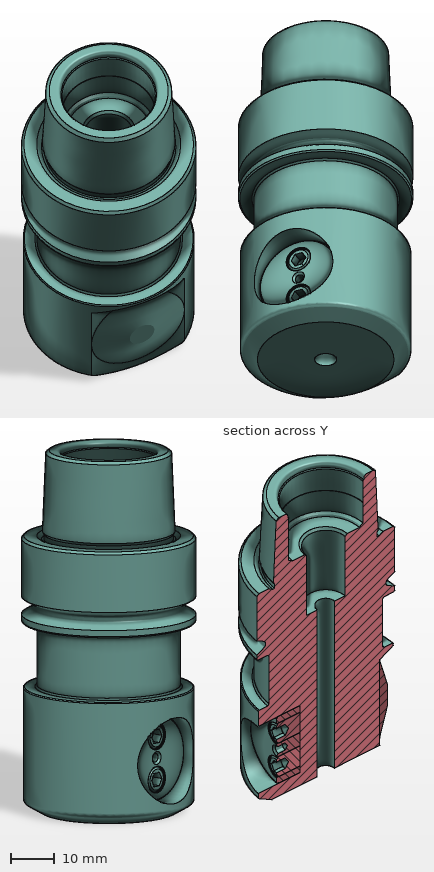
import cadquery as cq
import math

TOTAL_HEIGHT = 83.9
EDGE_TOLERANCE = 0.1
CONE_ANGLE = 30.0

HEAD_R = 19.55
HEAD_TOP_Z = 28.95
HEAD_TOP_EDGE = 0.25
NOSE_R = 15.6
NOSE_FILLET = 1.3

NECK_R = 16.45
NECK_CORNER = 0.4

FLANGE_R = 20.0
FLANGE_BOTTOM_Z = 44.05
FLANGE_TOP_Z = 64.0
FLANGE_TOP_EDGE = 0.6
FLANGE_BOTTOM_EDGE = 0.3
GROOVE_R = 17.5
GROOVE_LOW_EDGE_Z = 45.8
GROOVE_HIGH_EDGE_Z = 50.0
GROOVE_FILLET = 0.7
GROOVE_WALL_Z = (FLANGE_R - GROOVE_R) * math.tan(math.radians(CONE_ANGLE))

UNDERCUT_OUTER_R = 16.45
UNDERCUT_INNER_R = 15.35
UNDERCUT_DEPTH = 0.75
SHANK_RELIEF_R = 14.85
SHANK_BASE_R = 15.2
SHANK_BASE_Z = 65.1
SHANK_BASE_CONE_Z = 0.6
SHANK_TIP_R = 14.4
SHANK_TIP_CHAMFER_R = 0.8
SHANK_TIP_CHAMFER_Z = 0.6

SOCKET_R = 10.65
MOUTH_R = 10.9
MOUTH_DEPTH = 1.7
MOUTH_FILLET = 1.1
CHAMBER_R = 10.7
CHAMBER_TOP_Z = 75.8
SOCKET_FLOOR_R = 9.65
SOCKET_FLOOR_Z = 68.8
FLOOR_CHAMFER = 0.3
CHAMBER_CONE_Z = 0.4
WELL_R = 5.5
WELL_CHAMFER = 0.6
WELL_FLOOR_Z = 50.3
THROUGH_R = 2.5

CROSS_AXIS_Z = 14.0
FLAT_X = NOSE_R
FLAT_TOP_Z = 25.75
RECESS_R = 10.0
DISC_FACE_X = -14.3
DISC_THICKNESS = 6.7
DISC_BACK_X = DISC_FACE_X + DISC_THICKNESS
DISC_EDGE = 0.3
BUTTON_BASE_R = 11.75
BUTTON_TIP_R = 3.1
BUTTON_SLOPE = 15.0
BUTTON_HEIGHT = (BUTTON_BASE_R - BUTTON_TIP_R) * math.tan(math.radians(BUTTON_SLOPE))

SCREW_OFFSET = 5.0
SCREW_R = 2.9
SCREW_EDGE = 0.5
SCREW_HOLE_EDGE = 0.2
HEX_FLATS = 3.1
HEX_DEPTH = 2.5
DRILL_TIP_ANGLE = 118.0
CENTRE_HOLE_R = 1.0
CENTRE_HOLE_EDGE = 0.5
CENTRE_HOLE_DEPTH = 2.5


def revolve_about_z(points):
    return cq.Workplane("XZ").polyline(points).close().revolve(360, (0, 0, 0), (0, 1, 0))


def revolve_about_cross_axis(points, z=CROSS_AXIS_Z):
    """Turn (x, radius) points about a line parallel to X at height z."""
    outline = [(x, z + radius) for x, radius in points]
    return cq.Workplane("XZ").polyline(outline).close().revolve(360, (0, z, 0), (1, z, 0))


def round_circle(body, radius, z, fillet):
    """Fillet the circular edge of this radius around Z at height z."""
    reach = radius + EDGE_TOLERANCE
    box = cq.selectors.BoxSelector(
        (-reach, -reach, z - EDGE_TOLERANCE),
        (reach, reach, z + EDGE_TOLERANCE),
        boundingbox=True,
    )
    return body.edges(box).fillet(fillet)


def drill_tip(radius):
    """Height of the cone that a drill of this radius leaves at the end of its hole."""
    return radius / math.tan(math.radians(DRILL_TIP_ANGLE / 2))


def housing_blank():
    """Solid turned shape of the housing, before bores and side cuts."""
    nose_z = (HEAD_R - NOSE_R) * math.tan(math.radians(CONE_ANGLE))
    head = revolve_about_z([
        (0, 0),
        (NOSE_R, 0),
        (HEAD_R, nose_z),
        (HEAD_R, HEAD_TOP_Z - HEAD_TOP_EDGE),
        (HEAD_R - HEAD_TOP_EDGE, HEAD_TOP_Z),
        (0, HEAD_TOP_Z),
    ])
    head = round_circle(head, HEAD_R, nose_z, NOSE_FILLET)
    groove_low_z = GROOVE_LOW_EDGE_Z + GROOVE_WALL_Z
    groove_high_z = GROOVE_HIGH_EDGE_Z - GROOVE_WALL_Z
    upper = revolve_about_z([
        (0, HEAD_TOP_Z),
        (NECK_R + NECK_CORNER, HEAD_TOP_Z),
        (NECK_R, HEAD_TOP_Z + NECK_CORNER),
        (NECK_R, FLANGE_BOTTOM_Z - NECK_CORNER),
        (NECK_R + NECK_CORNER, FLANGE_BOTTOM_Z),
        (FLANGE_R - FLANGE_BOTTOM_EDGE, FLANGE_BOTTOM_Z),
        (FLANGE_R, FLANGE_BOTTOM_Z + FLANGE_BOTTOM_EDGE),
        (FLANGE_R, GROOVE_LOW_EDGE_Z),
        (GROOVE_R, groove_low_z),
        (GROOVE_R, groove_high_z),
        (FLANGE_R, GROOVE_HIGH_EDGE_Z),
        (FLANGE_R, FLANGE_TOP_Z - FLANGE_TOP_EDGE),
        (FLANGE_R - FLANGE_TOP_EDGE, FLANGE_TOP_Z),
        (UNDERCUT_OUTER_R, FLANGE_TOP_Z),
        (UNDERCUT_INNER_R, FLANGE_TOP_Z - UNDERCUT_DEPTH),
        (SHANK_RELIEF_R, FLANGE_TOP_Z - UNDERCUT_DEPTH),
        (SHANK_RELIEF_R, SHANK_BASE_Z - SHANK_BASE_CONE_Z),
        (SHANK_BASE_R, SHANK_BASE_Z),
        (SHANK_TIP_R, TOTAL_HEIGHT - SHANK_TIP_CHAMFER_Z),
        (SHANK_TIP_R - SHANK_TIP_CHAMFER_R, TOTAL_HEIGHT),
        (0, TOTAL_HEIGHT),
    ])
    for z in (groove_low_z, groove_high_z):
        upper = round_circle(upper, GROOVE_R, z, GROOVE_FILLET)
    return head.union(upper)


def axial_bores():
    """Stepped core of the through hole, well, chamber, socket and mouth."""
    chamber_cone_z = SOCKET_FLOOR_Z + FLOOR_CHAMFER
    return revolve_about_z([
        (0, 0),
        (THROUGH_R, 0),
        (THROUGH_R, WELL_FLOOR_Z),
        (WELL_R, WELL_FLOOR_Z),
        (WELL_R, SOCKET_FLOOR_Z - WELL_CHAMFER),
        (WELL_R + WELL_CHAMFER, SOCKET_FLOOR_Z),
        (SOCKET_FLOOR_R, SOCKET_FLOOR_Z),
        (SOCKET_FLOOR_R + FLOOR_CHAMFER, chamber_cone_z),
        (CHAMBER_R, chamber_cone_z + CHAMBER_CONE_Z),
        (CHAMBER_R, CHAMBER_TOP_Z),
        (SOCKET_R, CHAMBER_TOP_Z),
        (SOCKET_R, TOTAL_HEIGHT - MOUTH_DEPTH),
        (MOUTH_R, TOTAL_HEIGHT - MOUTH_DEPTH + MOUTH_R - SOCKET_R),
        (MOUTH_R, TOTAL_HEIGHT),
        (0, TOTAL_HEIGHT),
    ])


def side_flat_cut():
    """Block that leaves the flat on +X, closed at the top by a sloping roof."""
    reach = 2 * HEAD_R
    roof_rise = (reach - FLAT_X) * math.tan(math.radians(CONE_ANGLE))
    side = [(FLAT_X, 0), (reach, 0), (reach, FLAT_TOP_Z + roof_rise), (FLAT_X, FLAT_TOP_Z)]
    roofed = cq.Workplane("XZ").polyline(side).close().extrude(HEAD_R, both=True)
    head_only = cq.Workplane("XY").circle(reach).extrude(HEAD_TOP_Z)
    return roofed.intersect(head_only)


def make_housing():
    recess = revolve_about_cross_axis([
        (-2 * HEAD_R, 0),
        (-2 * HEAD_R, RECESS_R),
        (DISC_BACK_X, RECESS_R),
        (DISC_BACK_X, 0),
    ])
    bored = housing_blank().cut(axial_bores())
    bored = round_circle(bored, MOUTH_R, TOTAL_HEIGHT, MOUTH_FILLET)
    return bored.cut(side_flat_cut()).cut(recess)


def screw_heights():
    """Heights of the two screws, one below and one above the cross axis."""
    return [CROSS_AXIS_Z - SCREW_OFFSET, CROSS_AXIS_Z + SCREW_OFFSET]


def make_disc():
    """Round plug at the bottom of the recess, with two screw holes and a blind centre hole."""
    disc = revolve_about_cross_axis([
        (DISC_FACE_X, 0),
        (DISC_FACE_X, RECESS_R - DISC_EDGE),
        (DISC_FACE_X + DISC_EDGE, RECESS_R),
        (DISC_BACK_X, RECESS_R),
        (DISC_BACK_X, 0),
    ])
    hole_end_x = DISC_FACE_X + CENTRE_HOLE_DEPTH
    disc = disc.cut(revolve_about_cross_axis([
        (DISC_FACE_X, 0),
        (DISC_FACE_X, CENTRE_HOLE_R + CENTRE_HOLE_EDGE),
        (DISC_FACE_X + CENTRE_HOLE_EDGE, CENTRE_HOLE_R),
        (hole_end_x, CENTRE_HOLE_R),
        (hole_end_x + drill_tip(CENTRE_HOLE_R), 0),
    ]))
    for z in screw_heights():
        screw_hole = [
            (DISC_FACE_X, 0),
            (DISC_FACE_X, SCREW_R + SCREW_HOLE_EDGE),
            (DISC_FACE_X + SCREW_HOLE_EDGE, SCREW_R),
            (DISC_BACK_X, SCREW_R),
            (DISC_BACK_X, 0),
        ]
        disc = disc.cut(revolve_about_cross_axis(screw_hole, z))
    return disc


def make_screw(z):
    """Headless screw flush with the disc, with a hexagon socket that ends in a drill cone."""
    screw = revolve_about_cross_axis([
        (DISC_FACE_X, 0),
        (DISC_FACE_X, SCREW_R - SCREW_EDGE),
        (DISC_FACE_X + SCREW_EDGE, SCREW_R),
        (DISC_BACK_X, SCREW_R),
        (DISC_BACK_X, 0),
    ], z)
    hex_corners = HEX_FLATS / math.cos(math.radians(30))
    socket = (
        cq.Workplane("YZ", origin=(DISC_FACE_X, 0, z))
        .polygon(6, hex_corners)
        .extrude(HEX_DEPTH)
    )
    socket_end_x = DISC_FACE_X + HEX_DEPTH
    cone = revolve_about_cross_axis([
        (socket_end_x, 0),
        (socket_end_x, HEX_FLATS / 2),
        (socket_end_x + drill_tip(HEX_FLATS / 2), 0),
    ], z)
    return screw.cut(socket).cut(cone)


def make_button():
    """Shallow cone standing on the side flat."""
    return revolve_about_cross_axis([
        (FLAT_X, 0),
        (FLAT_X, BUTTON_BASE_R),
        (FLAT_X + BUTTON_HEIGHT, BUTTON_TIP_R),
        (FLAT_X + BUTTON_HEIGHT, 0),
    ])


housing = make_housing()
disc = make_disc()
button = make_button()
screws = [make_screw(z) for z in screw_heights()]

result = cq.Compound.makeCompound([
    *housing.solids().vals(),
    *disc.solids().vals(),
    *button.solids().vals(),
    *[screw.solids().val() for screw in screws],
])